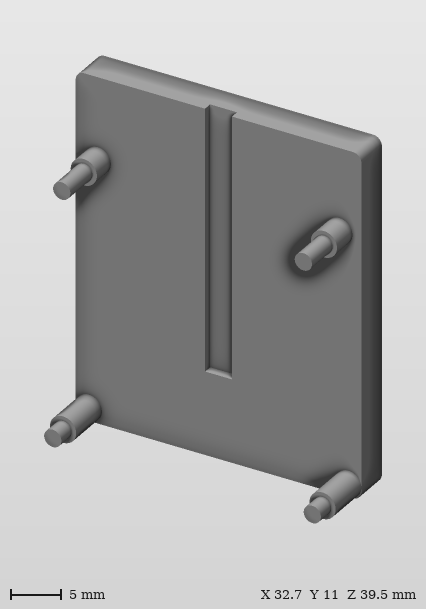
import cadquery as cq

width = 32.7
height = 39.45
total_depth = 11.0
plate_thickness = 4.0
corner_radius = 1.0

post_radius = 1.5
pin_radius = 1.0
pin_length = total_depth - plate_thickness
lower_post_length = 5.0
left_upper_post_length = 2.72
right_upper_post_length = 3.0
lower_peg_inset = post_radius
upper_peg_inset = 2.52
upper_peg_height = 30.0

groove_width = 3.08
groove_depth = 1.0
groove_bottom = 9.5


def stepped_peg(x, z, post_length):
    """A thick post with a thinner pin on its axis, growing from the front face towards -Y."""
    face = cq.Workplane("XZ", origin=(x, 0, z))
    post = face.circle(post_radius).extrude(post_length)
    pin = face.circle(pin_radius).extrude(pin_length)
    return post.union(pin)


result = (
    cq.Workplane("XY")
    .box(width, plate_thickness, height, centered=(True, False, False))
    .edges("|Y")
    .fillet(corner_radius)
)

groove = (
    cq.Workplane("XY")
    .box(groove_width, groove_depth, height - groove_bottom, centered=(True, False, False))
    .translate((0, 0, groove_bottom))
)
result = result.cut(groove)

for side, upper_post_length in ((-1, left_upper_post_length), (1, right_upper_post_length)):
    lower_x = side * (width / 2 - lower_peg_inset)
    upper_x = side * (width / 2 - upper_peg_inset)
    result = result.union(stepped_peg(lower_x, lower_peg_inset, lower_post_length))
    result = result.union(stepped_peg(upper_x, upper_peg_height, upper_post_length))